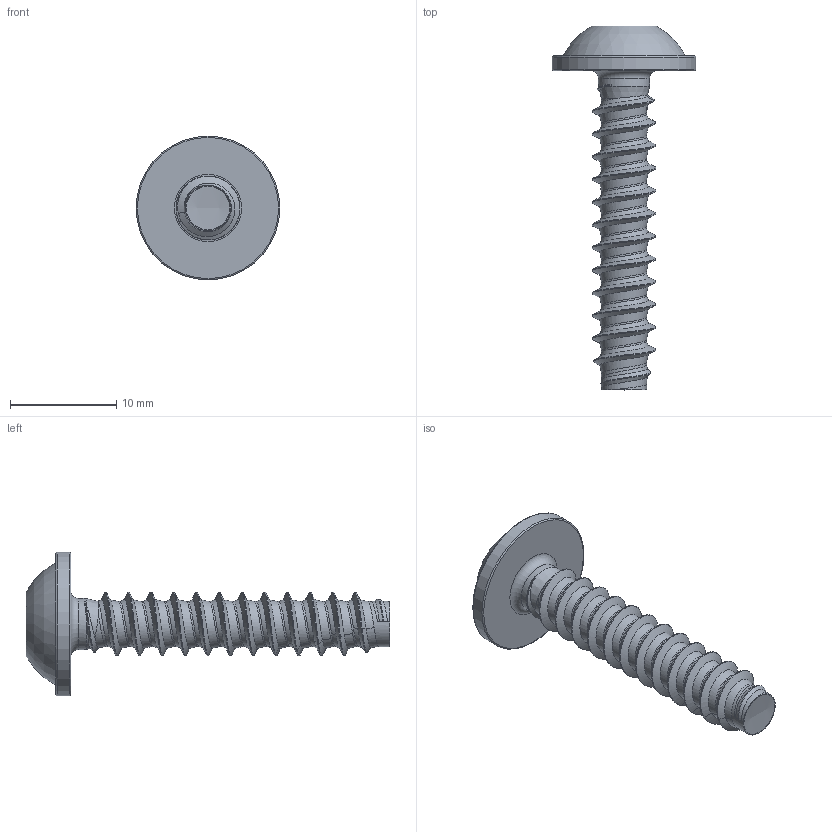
import cadquery as cq
import math


HEAD_HEIGHT = 4.2
FLANGE_RADIUS = 6.75
FLANGE_THICKNESS = 1.4
FLANGE_EDGE_ROUND = 0.12
DOME_BASE_RADIUS = 5.75
DOME_TOP_RADIUS = 3.0

SHANK_LENGTH = 30.0
NECK_RADIUS = 2.4
NECK_FILLET = 0.75
NECK_END = 1.45
NECK_TAPER_END = 2.6
CORE_RADIUS = 2.12
TIP_DISH_RADIUS = 2.05
TIP_DISH_DEPTH = 0.15

PITCH = 2.135
CREST_RADIUS = 3.0
FOOT_RADIUS = 2.28
CREST_HALF_WIDTH = 0.04
FOOT_HALF_WIDTH = 0.38
UPPER_ROOT = 0.85
LOWER_ROOT = 1.27
ROOT_OVERLAP = 0.02
CREST_DEPTH_AT_PLUS_X = 2.745
LEAD_IN_START = 0.4
LEAD_IN_END = 3.3
RUN_OUT_START = 26.85
RUN_OUT_END = 29.6
RIDGE_START = 0.8
RIDGE_END = 29.4
POINTS_PER_TURN = 24
SEGMENTS = 14


def dome_centre():
    """Y of the dome sphere's centre, from its base and top circles."""
    base_term = DOME_BASE_RADIUS**2 + FLANGE_THICKNESS**2
    top_term = DOME_TOP_RADIUS**2 + HEAD_HEIGHT**2
    return (top_term - base_term) / (2 * (HEAD_HEIGHT - FLANGE_THICKNESS))


def make_head():
    flange = cq.Workplane("XZ").circle(FLANGE_RADIUS).extrude(-FLANGE_THICKNESS)
    flange = flange.edges().fillet(FLANGE_EDGE_ROUND)

    centre = dome_centre()
    dome_radius = math.hypot(DOME_BASE_RADIUS, FLANGE_THICKNESS - centre)
    mid_y = (FLANGE_THICKNESS + HEAD_HEIGHT) / 2
    mid_radius = math.sqrt(dome_radius**2 - (mid_y - centre)**2)
    dome = (
        cq.Workplane("XY")
        .moveTo(0, FLANGE_THICKNESS / 2)
        .lineTo(DOME_BASE_RADIUS, FLANGE_THICKNESS / 2)
        .lineTo(DOME_BASE_RADIUS, FLANGE_THICKNESS)
        .threePointArc((mid_radius, mid_y), (DOME_TOP_RADIUS, HEAD_HEIGHT))
        .lineTo(0, HEAD_HEIGHT)
        .close()
        .revolve(360, (0, 0, 0), (0, 1, 0))
    )
    return flange.union(dome)


def make_shank():
    fillet_inset = NECK_FILLET * (1 - math.sqrt(0.5))
    return (
        cq.Workplane("XY")
        .moveTo(0, FLANGE_THICKNESS / 2)
        .lineTo(NECK_RADIUS + NECK_FILLET, FLANGE_THICKNESS / 2)
        .lineTo(NECK_RADIUS + NECK_FILLET, 0)
        .threePointArc((NECK_RADIUS + fillet_inset, -fillet_inset), (NECK_RADIUS, -NECK_FILLET))
        .lineTo(NECK_RADIUS, -NECK_END)
        .lineTo(CORE_RADIUS, -NECK_TAPER_END)
        .lineTo(CORE_RADIUS, -SHANK_LENGTH)
        .lineTo(0, -SHANK_LENGTH)
        .close()
        .revolve(360, (0, 0, 0), (0, 1, 0))
    )


def make_tip_dish():
    """Sphere that hollows the tip."""
    sphere_radius = (TIP_DISH_RADIUS**2 + TIP_DISH_DEPTH**2) / (2 * TIP_DISH_DEPTH)
    sphere_centre = TIP_DISH_DEPTH - SHANK_LENGTH - sphere_radius
    return cq.Workplane("XY").sphere(sphere_radius).translate((0, sphere_centre, 0))


def thread_growth(depth):
    """Fraction of the full thread height at a crest depth."""
    lead_in = (depth - LEAD_IN_START) / (LEAD_IN_END - LEAD_IN_START)
    run_out = (RUN_OUT_END - depth) / (RUN_OUT_END - RUN_OUT_START)
    return min(1, lead_in, run_out)


def thread_curve(start, end, offset, height):
    """Helical edge between two crest depths; positive heights follow the growth."""
    steps = math.ceil((end - start) / PITCH * POINTS_PER_TURN)
    points = []
    for step in range(steps + 1):
        depth = start + (end - start) * step / steps
        angle = 2 * math.pi * (depth - CREST_DEPTH_AT_PLUS_X) / PITCH
        radius = CORE_RADIUS + (height * thread_growth(depth) if height > 0 else height)
        points.append(cq.Vector(radius * math.cos(angle), -depth - offset, radius * math.sin(angle)))
    return cq.Edge.makeSpline(points)


def end_cap(curves, position):
    """Flat face across one end (0 or 1) of the thread body."""
    corners = [curve.positionAt(position) for curve in curves]
    return cq.Face.makeFromWires(cq.Wire.makePolygon(corners, close=True))


def make_thread():
    """Helical ridge, built in segments and trimmed flush with the tip."""
    crest_height = CREST_RADIUS - CORE_RADIUS
    foot_height = FOOT_RADIUS - CORE_RADIUS
    profile = [
        (-UPPER_ROOT, -ROOT_OVERLAP),
        (-FOOT_HALF_WIDTH, foot_height),
        (-CREST_HALF_WIDTH, crest_height),
        (CREST_HALF_WIDTH, crest_height),
        (FOOT_HALF_WIDTH, foot_height),
        (LOWER_ROOT, -ROOT_OVERLAP),
    ]
    faces = []
    segment_length = (RIDGE_END - RIDGE_START) / SEGMENTS
    for segment in range(SEGMENTS):
        start = RIDGE_START + segment * segment_length
        end = start + segment_length
        curves = [thread_curve(start, end, offset, height) for offset, height in profile]
        neighbours = curves[1:] + curves[:1]
        faces += [cq.Face.makeRuledSurface(a, b) for a, b in zip(curves, neighbours)]
        if segment == 0:
            faces.append(end_cap(curves, 0))
        if segment == SEGMENTS - 1:
            faces.append(end_cap(curves, 1))
    ridge = cq.Workplane(cq.Solid.makeSolid(cq.Shell.makeShell(faces)))

    beyond_tip = (
        cq.Workplane("XZ", origin=(0, -SHANK_LENGTH, 0))
        .circle(FLANGE_RADIUS)
        .extrude(PITCH)
    )
    return ridge.cut(beyond_tip)


result = make_head().union(make_shank()).cut(make_tip_dish()).union(make_thread())